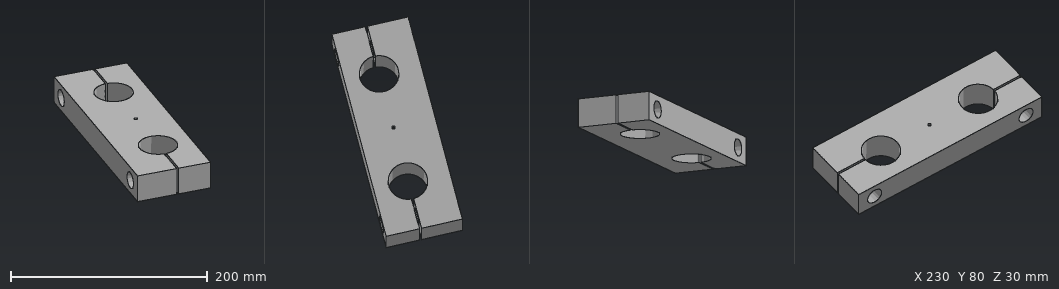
import cadquery as cq
import math

length = 230.0
width = 80.0
height = 30.0

bore_diameter = 40.0
bore_spacing = 122.0
bore_y = 4.0

slit_width = 2.0

screw_hole_diameter = 17.5
screw_hole_spacing = 190.0

mark_diameter = 3.5
pilot_diameter = 1.5
countersink_angle = 60.0
pilot_depth = 1.8


def make_block():
    return cq.Workplane("XY").box(length, width, height)


def cut_bore_and_slit(body, side):
    """Cut one clamping bore and open it to the block end on that side (-1 or +1)."""
    bore_x = side * bore_spacing / 2
    slit_length = length / 2 - bore_spacing / 2
    slit_x = side * (length / 2 - slit_length / 2)
    bore = cq.Workplane("XY").center(bore_x, bore_y).circle(bore_diameter / 2).extrude(height, both=True)
    slit = cq.Workplane("XY").box(slit_length, slit_width, height).translate((slit_x, bore_y, 0))
    return body.cut(bore).cut(slit)


def cut_screw_hole(body, side):
    """Cut one screw hole through the full width of the block."""
    hole_x = side * screw_hole_spacing / 2
    hole = cq.Workplane("XZ").center(hole_x, 0).circle(screw_hole_diameter / 2).extrude(width, both=True)
    return body.cut(hole)


def cut_center_mark(body):
    """Revolve the countersink and pilot profile and cut it into the top face."""
    mark_radius = mark_diameter / 2
    pilot_radius = pilot_diameter / 2
    cone_depth = (mark_radius - pilot_radius) / math.tan(math.radians(countersink_angle / 2))
    mark_depth = cone_depth + pilot_depth
    profile = [
        (0, 0),
        (mark_radius, 0),
        (pilot_radius, -cone_depth),
        (pilot_radius, -mark_depth),
        (0, -mark_depth),
    ]
    mark = cq.Workplane("XZ").polyline(profile).close().revolve(360, (0, 0, 0), (0, 1, 0))
    return body.cut(mark.translate((0, bore_y, height / 2)))


result = make_block()
for side in (-1, 1):
    result = cut_bore_and_slit(result, side)
    result = cut_screw_hole(result, side)
result = cut_center_mark(result)